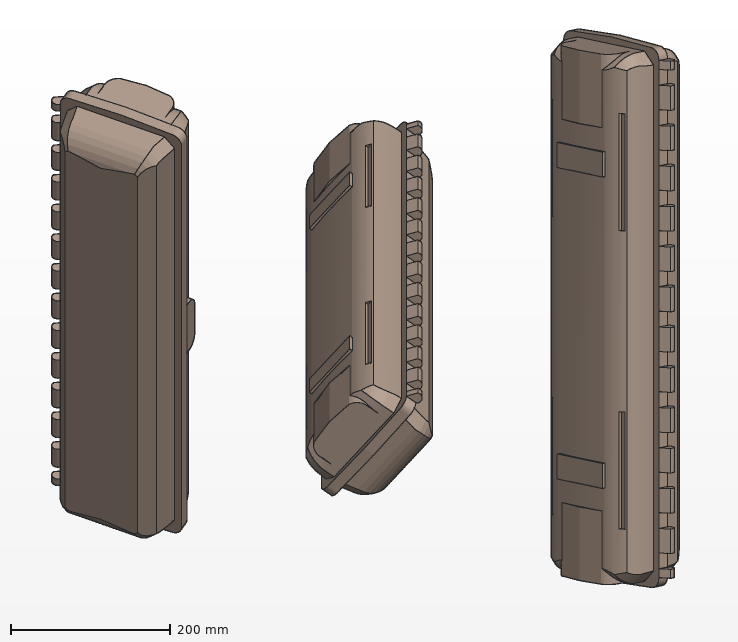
import cadquery as cq
import math


LENGTH = 698.0
HALF_LENGTH = LENGTH / 2
TRIM_HALF_WIDTH = LENGTH

FLANGE_HALF_WIDTH = 85.0
FLANGE_THICKNESS = 15.5
FLANGE_BOW = 3.5
FLANGE_CORNER_RADIUS = 14.0

RIM_HALF_WIDTH = 75.5
END_RADIUS = 42.0

DOME_HALF_LENGTH = 337.0
DOME_CORNER_REACH = 278.5
DOME_END_DRAFT = 1.0
DOME_CORNER_DRAFT = 6.0
DOME_SHOULDER_X, DOME_SHOULDER_Y = 68.0, 50.0
DOME_ROOF_X, DOME_ROOF_Y = 51.0, 70.0
DOME_DEPTH = 72.5
DOME_CURVE_Y = 32.0
FACET_FIRST_ANGLE = 6.0
FACET_STEP = 12.0
FACET_COUNT = 6

KNUCKLE_RADIUS = 8.0
KNUCKLE_X, KNUCKLE_Y = -91.0, -11.0
KNUCKLE_TIP_Y = -8.5
KNUCKLE_PITCH = 51.5
KNUCKLE_LENGTH = 31.5
KNUCKLE_COUNT = 14
HINGE_HALF_LENGTH = 331.5

BASE_HALF_LENGTH = 340.0
BASE_CURVE_Y = 15.5
BASE_CORNER_REACH = 282.5
BASE_SIDE_X, BASE_SIDE_Y = 73.0, 21.0
BASE_EDGE_X, BASE_EDGE_Y = 68.0, 39.0
BASE_BACK_X, BASE_BACK_Y = 53.0, 47.5
BASE_CROWN_X, BASE_CROWN_Y = 40.5, 51.0
BASE_CROWN = 52.0

STANDING_Y = 55.0
FOOT_HALF_WIDTH = 40.5
FOOT_LENGTH = 32.0
FOOT_Z = 199.5
END_BLOCK_LENGTH = 94.0
END_BLOCK_HALF_WIDTH = 47.5
END_BLOCK_SIDE_Y = 35.0
END_BLOCK_SHOULDER_X, END_BLOCK_SHOULDER_Y = 35.0, 51.5
END_BLOCK_BULGE_X, END_BLOCK_BULGE_Y = 43.0, 45.5

NOTCH_WALL_X = 59.0
NOTCH_FLOOR_Y = 40.5
NOTCH_LENGTH = 150.0
NOTCH_Z = 191.0

LATCH_HEIGHT = 21.5
LATCH_LENGTH = 84.0
LATCH_CORNER_RADIUS = 16.0
LATCH_ROOT_X = 70.0


def prism(outline, half_length):
    """Extrude an XY outline along Z, centred on Z = 0."""
    return outline.extrude(half_length, both=True)


def trim_ends(shell, end_profile, corner_profile):
    """Shape both short ends, then the four corners, of a shell with closed YZ outlines."""
    end_slab = end_profile.extrude(TRIM_HALF_WIDTH, both=True)
    corner_slab = corner_profile.extrude(TRIM_HALF_WIDTH, both=True)
    shell = shell.intersect(end_slab)
    for turn in (-45, 45):
        shell = shell.intersect(corner_slab.rotate((0, 0, 0), (0, 1, 0), turn))
    return shell




def make_flange():
    edge_z = HALF_LENGTH - FLANGE_BOW
    outline = [
        (0, HALF_LENGTH),
        (FLANGE_HALF_WIDTH, edge_z),
        (FLANGE_HALF_WIDTH, -edge_z),
        (0, -HALF_LENGTH),
        (-FLANGE_HALF_WIDTH, -edge_z),
        (-FLANGE_HALF_WIDTH, edge_z),
    ]
    plate = cq.Workplane("XZ").polyline(outline).close().extrude(FLANGE_THICKNESS)
    return plate.edges("|Y").edges("<X or >X").fillet(FLANGE_CORNER_RADIUS)


def dome_profile(half_length, draft):
    """YZ outline whose ends run at a slight draft, then turn toward -Y in equal flat facets."""
    upper = [(0, half_length + draft)]
    for i in range(FACET_COUNT + 1):
        angle = math.radians(FACET_FIRST_ANGLE + i * FACET_STEP)
        y = -DOME_CURVE_Y - END_RADIUS * math.sin(angle)
        z = half_length - END_RADIUS * (1 - math.cos(angle))
        upper.append((y, z))
    lower = [(y, -z) for y, z in reversed(upper)]
    return cq.Workplane("YZ").polyline(upper + lower).close()


def make_dome():
    left = [
        (-RIM_HALF_WIDTH, 0),
        (-RIM_HALF_WIDTH, -FLANGE_THICKNESS),
        (-DOME_SHOULDER_X, -DOME_SHOULDER_Y),
        (-DOME_ROOF_X, -DOME_ROOF_Y),
    ]
    right = [(-x, y) for x, y in reversed(left)]
    section = cq.Workplane("XY").polyline(left + [(0, -DOME_DEPTH)] + right).close()
    dome = prism(section, HALF_LENGTH)
    end_profile = dome_profile(DOME_HALF_LENGTH, DOME_END_DRAFT)
    corner_profile = dome_profile(DOME_CORNER_REACH, DOME_CORNER_DRAFT)
    return trim_ends(dome, end_profile, corner_profile)


def make_knuckle(z):
    """Short bar with a sloping back and a rounded front, standing on the flange edge."""
    tip_x = KNUCKLE_X - math.sqrt(KNUCKLE_RADIUS**2 - (KNUCKLE_TIP_Y - KNUCKLE_Y) ** 2)
    front = (KNUCKLE_X, KNUCKLE_Y - KNUCKLE_RADIUS)
    root_x = -FLANGE_HALF_WIDTH
    root_y = KNUCKLE_Y - math.sqrt(KNUCKLE_RADIUS**2 - (root_x - KNUCKLE_X) ** 2)
    outline = (
        cq.Workplane("XY")
        .moveTo(root_x, 0)
        .lineTo(tip_x, KNUCKLE_TIP_Y)
        .threePointArc(front, (root_x, root_y))
        .close()
    )
    return prism(outline, KNUCKLE_LENGTH / 2).translate((0, 0, z))


def make_hinge():
    hinge = cq.Workplane("XY")
    for i in range(KNUCKLE_COUNT):
        z = (i - (KNUCKLE_COUNT - 1) / 2) * KNUCKLE_PITCH
        hinge = hinge.add(make_knuckle(z))
    envelope = cq.Workplane("XY").box(LENGTH, LENGTH, 2 * HINGE_HALF_LENGTH)
    return hinge.combine().intersect(envelope)


def make_lid():
    return make_flange().union(make_dome()).union(make_hinge())




def base_profile(half_length):
    """YZ outline whose ends run straight, then round over toward +Y."""
    curve_z = half_length - END_RADIUS
    rise = STANDING_Y - BASE_CURVE_Y
    stop_z = curve_z + math.sqrt(END_RADIUS**2 - rise**2)
    middle = math.asin(rise / END_RADIUS) / 2
    middle_y = BASE_CURVE_Y + END_RADIUS * math.sin(middle)
    middle_z = curve_z + END_RADIUS * math.cos(middle)
    return (
        cq.Workplane("YZ")
        .moveTo(0, -half_length)
        .lineTo(0, half_length)
        .lineTo(BASE_CURVE_Y, half_length)
        .threePointArc((middle_y, middle_z), (STANDING_Y, stop_z))
        .lineTo(STANDING_Y, -stop_z)
        .threePointArc((middle_y, -middle_z), (BASE_CURVE_Y, -half_length))
        .close()
    )


def make_shell():
    section = (
        cq.Workplane("XY")
        .moveTo(-RIM_HALF_WIDTH, 0)
        .threePointArc((-BASE_SIDE_X, BASE_SIDE_Y), (-BASE_EDGE_X, BASE_EDGE_Y))
        .threePointArc((-BASE_BACK_X, BASE_BACK_Y), (-BASE_CROWN_X, BASE_CROWN_Y))
        .threePointArc((0, BASE_CROWN), (BASE_CROWN_X, BASE_CROWN_Y))
        .threePointArc((BASE_BACK_X, BASE_BACK_Y), (BASE_EDGE_X, BASE_EDGE_Y))
        .threePointArc((BASE_SIDE_X, BASE_SIDE_Y), (RIM_HALF_WIDTH, 0))
        .close()
    )
    shell = prism(section, BASE_HALF_LENGTH)
    return trim_ends(shell, base_profile(BASE_HALF_LENGTH), base_profile(BASE_CORNER_REACH))


def make_end_block(side):
    """Block with a shallow ridge that squares off one short end (side is +1 at the +Z end)."""
    outline = (
        cq.Workplane("XY")
        .moveTo(-END_BLOCK_HALF_WIDTH, 0)
        .lineTo(-END_BLOCK_HALF_WIDTH, END_BLOCK_SIDE_Y)
        .threePointArc(
            (-END_BLOCK_BULGE_X, END_BLOCK_BULGE_Y),
            (-END_BLOCK_SHOULDER_X, END_BLOCK_SHOULDER_Y),
        )
        .lineTo(0, STANDING_Y)
        .lineTo(END_BLOCK_SHOULDER_X, END_BLOCK_SHOULDER_Y)
        .threePointArc(
            (END_BLOCK_BULGE_X, END_BLOCK_BULGE_Y),
            (END_BLOCK_HALF_WIDTH, END_BLOCK_SIDE_Y),
        )
        .lineTo(END_BLOCK_HALF_WIDTH, 0)
        .close()
    )
    centre_z = BASE_HALF_LENGTH - END_BLOCK_LENGTH / 2
    return prism(outline, END_BLOCK_LENGTH / 2).translate((0, 0, side * centre_z))


def make_foot(side):
    foot = cq.Workplane("XY").box(2 * FOOT_HALF_WIDTH, STANDING_Y, FOOT_LENGTH)
    return foot.translate((0, STANDING_Y / 2, side * FOOT_Z))


def make_notch(side_x, side_z):
    """Cutter for a long notch, open toward +Y and away from the centre plane."""
    corner = (side_x * NOTCH_WALL_X, NOTCH_FLOOR_Y)
    opposite = (side_x * FLANGE_HALF_WIDTH, STANDING_Y)
    outline = cq.Workplane("XY").polyline(
        [corner, (opposite[0], corner[1]), opposite, (corner[0], opposite[1])]
    ).close()
    return prism(outline, NOTCH_LENGTH / 2).translate((0, 0, side_z * NOTCH_Z))


def make_latch():
    width = FLANGE_HALF_WIDTH - LATCH_ROOT_X
    tab = cq.Workplane("XY").box(width, LATCH_HEIGHT, LATCH_LENGTH)
    tab = tab.edges(">Y and |X").fillet(LATCH_CORNER_RADIUS)
    return tab.translate((LATCH_ROOT_X + width / 2, LATCH_HEIGHT / 2, 0))


def make_base():
    base = make_shell()
    for side in (-1, 1):
        base = base.union(make_end_block(side)).union(make_foot(side))
    for side_x in (-1, 1):
        for side_z in (-1, 1):
            base = base.cut(make_notch(side_x, side_z))
    return base.union(make_latch())


lid = make_lid()
base = make_base()

result = cq.Compound.makeCompound([lid.val(), base.val()])